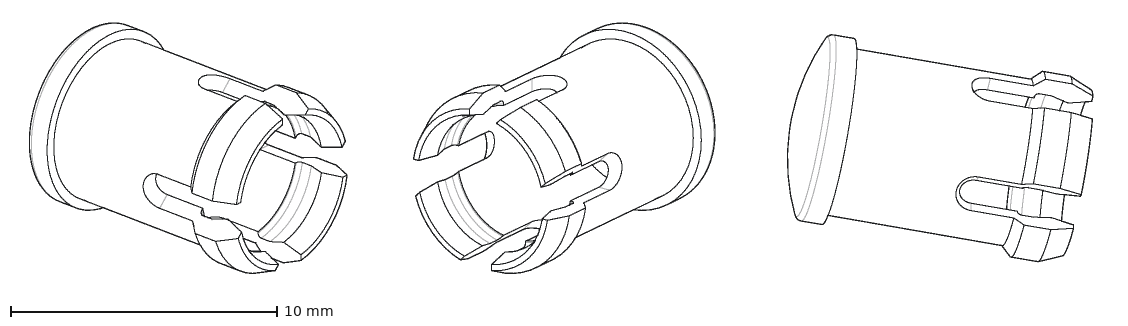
import cadquery as cq
import math

length = 10.92

head_radius = 7.11 / 2
head_back = 1.78
dome_radius = 7.92
rim_fillet = 0.23
edge_margin = 0.11

sleeve_radius = 3.18
collar_radius = 3.55
collar_start = 8.63
collar_full = 9.02
collar_taper = 10.05

bore_radius = 2.66
groove_radius = 2.88
groove_start = 8.77
groove_end = 9.38
groove_fillet = 0.16
lip_radius = 2.7
lip_position = 10.06
mouth_radius = 2.94

slot_count = 4
slot_half_width = 0.51
slot_depth = 2.61
slot_end_center = 6.98
end_flare_ratio = 0.36
slot_inner_depth = 2.18
slot_outer_depth = 3.71
slot_overrun = 0.11


def dome_height(radius):
    """Distance of the dome surface from its apex plane at the given radius."""
    return dome_radius - math.sqrt(dome_radius**2 - radius**2)


def revolve_about_x(profile):
    return profile.close().revolve(360, (0, 0, 0), (1, 0, 0))


def outer_body():
    middle_radius = head_radius / 2
    profile = (
        cq.Workplane("XY")
        .moveTo(0, 0)
        .threePointArc((dome_height(middle_radius), middle_radius), (dome_height(head_radius), head_radius))
        .lineTo(head_back, head_radius)
        .lineTo(head_back, sleeve_radius)
        .lineTo(collar_start, sleeve_radius)
        .lineTo(collar_full, collar_radius)
        .lineTo(collar_taper, collar_radius)
        .lineTo(length, sleeve_radius)
        .lineTo(length, 0)
    )
    rim = cq.selectors.BoxSelector(
        (dome_height(head_radius) - edge_margin, -2 * head_radius, -2 * head_radius),
        (dome_height(head_radius) + edge_margin, 2 * head_radius, 2 * head_radius),
        boundingbox=True,
    )
    return revolve_about_x(profile).edges(rim).fillet(rim_fillet)


def bore():
    profile = (
        cq.Workplane("XY")
        .moveTo(head_back, 0)
        .lineTo(head_back, bore_radius)
        .lineTo(groove_start, bore_radius)
        .lineTo(groove_start, groove_radius - groove_fillet)
        .radiusArc((groove_start + groove_fillet, groove_radius), groove_fillet)
        .lineTo(groove_end, groove_radius)
        .lineTo(lip_position, lip_radius)
        .lineTo(length, mouth_radius)
        .lineTo(length, 0)
    )
    return revolve_about_x(profile)


def slot_section(depth):
    """Round-ended slot outline in the plane Y = -depth; only its lower wall shifts with depth."""
    flare = depth - slot_depth
    half_height = slot_half_width + flare / 2
    end_reach = slot_half_width + end_flare_ratio * flare
    open_end = length + slot_overrun
    outline = (
        cq.Workplane("XZ", origin=(0, -depth, 0))
        .moveTo(open_end, slot_half_width)
        .lineTo(slot_end_center, slot_half_width)
        .ellipseArc(end_reach, half_height, 90, 270, startAtCurrent=True)
        .lineTo(open_end, -slot_half_width - flare)
        .close()
    )
    return outline.val()


def slot(angle, mirrored):
    sections = [slot_section(slot_inner_depth), slot_section(slot_outer_depth)]
    cutter = cq.Workplane(cq.Solid.makeLoft(sections, True))
    if mirrored:
        cutter = cutter.mirror("XY")
    return cutter.rotate((0, 0, 0), (1, 0, 0), angle)


result = outer_body().cut(bore())

for index in range(slot_count):
    result = result.cut(slot(index * 360 / slot_count, index % 2 == 1))